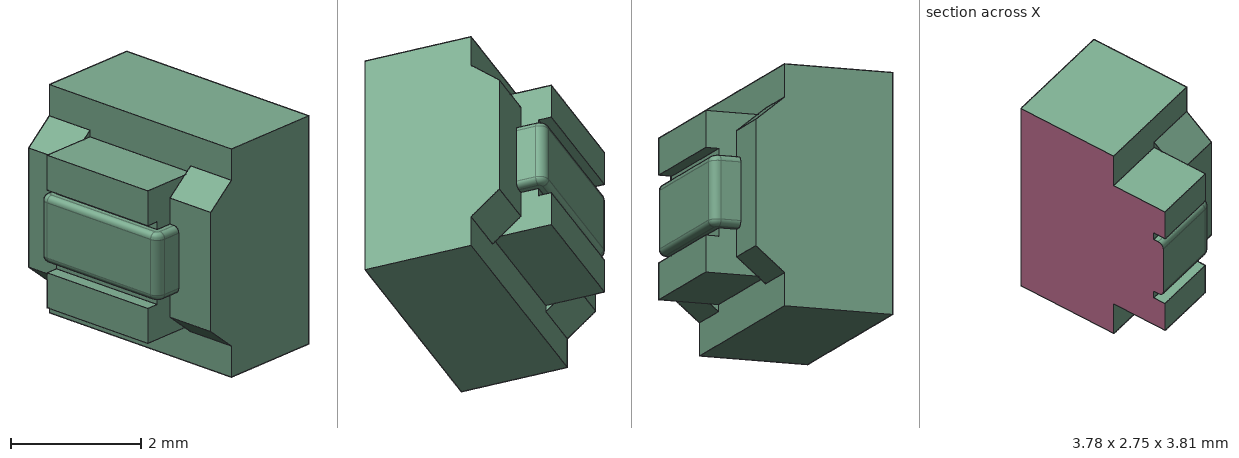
import cadquery as cq

width = 3.78
height = 3.81
total_depth = 2.75

centre_projection = 0.98
centre_height = 2.545
groove_height = 1.38
groove_depth = 0.215

rail_width = 0.845
rail_projection = 0.472
rail_root_height = 2.765
rail_face_height = 1.99

bar_length = 2.455
bar_height = 1.12
bar_projection = 0.95
bar_end_radius = 0.152
bar_long_radius = 0.1

base_depth = total_depth - centre_projection
centre_width = width - 2 * rail_width
groove_floor = centre_projection - groove_depth


def front_block(size_x, size_z, start, end):
    """Box centred in X and Z, reaching from Y = -start to Y = -end."""
    block = cq.Workplane("XY").box(size_x, end - start, size_z)
    return block.translate((0, -(start + end) / 2, 0))


def make_rail(x_start):
    profile = [
        (0, -rail_root_height / 2),
        (-rail_projection, -rail_face_height / 2),
        (-rail_projection, rail_face_height / 2),
        (0, rail_root_height / 2),
    ]
    rail = cq.Workplane("YZ").polyline(profile).close().extrude(rail_width)
    return rail.translate((x_start, 0, 0))


def make_centre():
    block = front_block(centre_width, centre_height, 0, centre_projection)
    groove = front_block(centre_width, groove_height, groove_floor, centre_projection)
    return block.cut(groove)


def make_bar():
    bar = front_block(bar_length, bar_height, rail_projection, bar_projection)
    bar = bar.faces("<Y").edges("|Z").fillet(bar_end_radius)
    rims = bar.faces("<Z or >Z").edges("not >Y")
    return rims.fillet(bar_long_radius)


base = front_block(width, height, -base_depth, 0)
result = base.union(make_centre())
for x_start in (-width / 2, width / 2 - rail_width):
    result = result.union(make_rail(x_start))
result = result.union(make_bar())